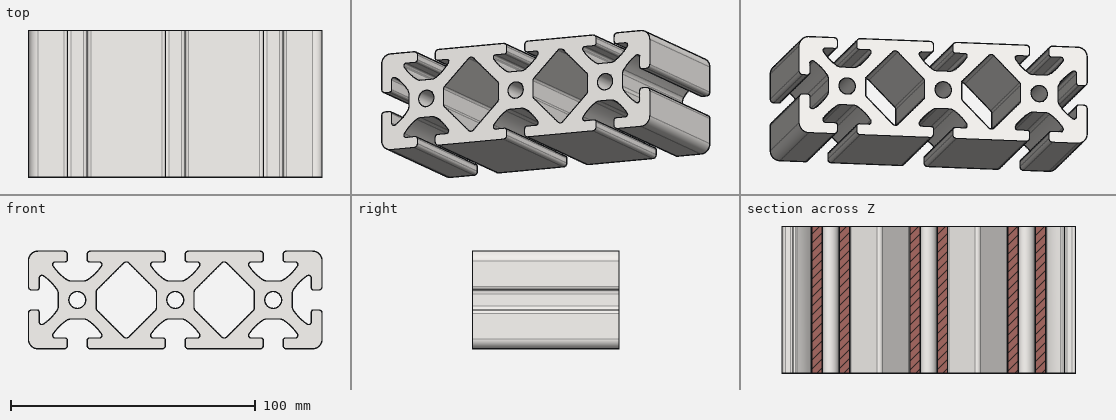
import cadquery as cq

cell = 40.0
cell_count = 3
length = 60.0
width = cell * cell_count
half_cell = cell / 2
corner_radius = 4.0
bore_diameter = 6.8

slot_half_opening = 4.0
lip_thickness = 4.5
lip_outer_radius = 1.5
lip_inner_radius = 1.0
lip_inner_height = half_cell - lip_thickness
floor_height = 7.8
floor_half_width = 3.45
floor_radius = 3.3
cavity_half_width = 10.0
cavity_radius = 1.0
flank_top_height = 14.1
flank_radius = 20.0

chamber_half_diagonal = 16.1
chamber_wall_distance = 7.75
chamber_half_width = half_cell - chamber_wall_distance
chamber_side_height = chamber_half_diagonal - chamber_half_width
chamber_radius = 1.5

cell_centers = [(i - (cell_count - 1) / 2) * cell for i in range(cell_count)]
chamber_centers = [(a + b) / 2 for a, b in zip(cell_centers, cell_centers[1:])]


def full_length(sketch):
    """Extrude an XZ sketch over the full length, centred on Y = 0."""
    return sketch.extrude(length / 2, both=True)


def round_edges(body, points, radius):
    """Round the lengthwise edges that pass through the given (x, z) points."""
    reach = 0.01
    for x, z in points:
        box = cq.selectors.BoxSelector((x - reach, -reach, z - reach), (x + reach, reach, z + reach))
        body = body.edges("|Y").edges(box).fillet(radius)
    return body


def mirrored(points):
    """Add the mirror image of half an outline, in reverse order, across x = 0."""
    return points + [(-x, z) for x, z in reversed(points)]


def slot_cutter():
    """T-slot that opens toward +Z, for a cell centred on the origin."""
    mouth = (slot_half_opening, half_cell)
    lip_edge = (slot_half_opening, lip_inner_height)
    cavity_top = (cavity_half_width, lip_inner_height)
    flank_top = (cavity_half_width, flank_top_height)
    floor_end = (floor_half_width, floor_height)
    half_outline = (
        cq.Workplane("XZ")
        .moveTo(0, half_cell)
        .lineTo(*mouth)
        .lineTo(*lip_edge)
        .lineTo(*cavity_top)
        .lineTo(*flank_top)
        .radiusArc(floor_end, flank_radius)
        .lineTo(0, floor_height)
        .close()
    )
    half_cutter = full_length(half_outline)
    cutter = half_cutter.union(half_cutter.mirror("YZ")).clean()
    cutter = round_edges(cutter, mirrored([cavity_top, flank_top]), cavity_radius)
    cutter = round_edges(cutter, mirrored([floor_end]), floor_radius)
    return round_edges(cutter, mirrored([lip_edge]), lip_inner_radius)


def chamber_cutter():
    """Hollow chamber centred on the origin."""
    corners = [
        (0, chamber_half_diagonal),
        (chamber_half_width, chamber_side_height),
        (chamber_half_width, -chamber_side_height),
        (0, -chamber_half_diagonal),
        (-chamber_half_width, -chamber_side_height),
        (-chamber_half_width, chamber_side_height),
    ]
    outline = cq.Workplane("XZ").polyline(corners).close()
    return full_length(outline).edges("|Y").fillet(chamber_radius)


def turned(cutter, angle):
    """Turn a cutter about the Y axis."""
    return cutter.rotate((0, 0, 0), (0, 1, 0), angle)


def bar():
    """Solid bar with rounded outer corners."""
    return cq.Workplane("XY").box(width, length, cell).edges("|Y").fillet(corner_radius)


def cut_slots(body):
    """Cut one slot above and below every cell, and one on each end of the row."""
    slot = slot_cutter()
    for x in cell_centers:
        body = body.cut(slot.translate((x, 0, 0)))
        body = body.cut(turned(slot, 180).translate((x, 0, 0)))
    body = body.cut(turned(slot, -90).translate((cell_centers[0], 0, 0)))
    return body.cut(turned(slot, 90).translate((cell_centers[-1], 0, 0)))


def round_slot_mouths(body):
    """Round the outer lip corners of all slots."""
    sides = (-slot_half_opening, slot_half_opening)
    long_side_lips = [(x + s, z) for x in cell_centers for s in sides for z in (-half_cell, half_cell)]
    end_lips = [(x, s) for x in (-width / 2, width / 2) for s in sides]
    return round_edges(body, long_side_lips + end_lips, lip_outer_radius)


def cut_chambers(body):
    """Cut a hollow chamber between each pair of neighbouring cells."""
    chamber = chamber_cutter()
    for x in chamber_centers:
        body = body.cut(chamber.translate((x, 0, 0)))
    return body


def cut_bores(body):
    """Cut a core bore through the centre of every cell."""
    bore = full_length(cq.Workplane("XZ").circle(bore_diameter / 2))
    for x in cell_centers:
        body = body.cut(bore.translate((x, 0, 0)))
    return body


profile = bar()
profile = cut_slots(profile)
profile = round_slot_mouths(profile)
profile = cut_chambers(profile)
result = cut_bores(profile)